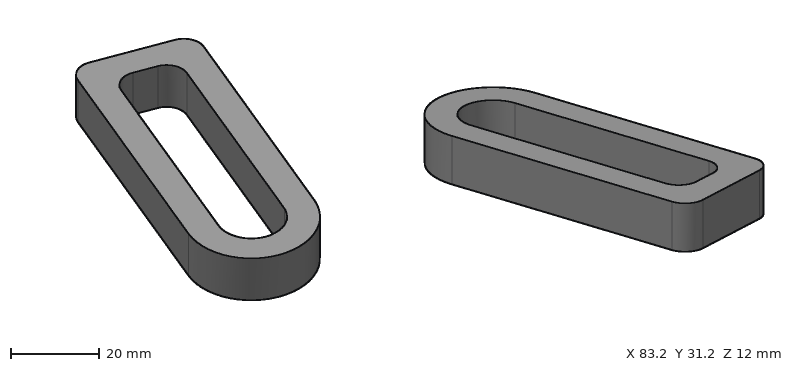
import cadquery as cq

length = 83.2
width = 31.2
height = 12.0
wall = 7.5
outer_corner_radius = 5.0
inner_corner_radius = 5.0


def d_shaped_block(block_length, block_width, corner_radius):
    """Upright block with a half-round +X end and two rounded -X corners.

    The flat -X end is centred in Y and lies at X = 0.
    """
    end_radius = block_width / 2
    straight_length = block_length - end_radius
    return (
        cq.Workplane("XY")
        .moveTo(0, -end_radius)
        .lineTo(straight_length, -end_radius)
        .threePointArc((block_length, 0), (straight_length, end_radius))
        .lineTo(0, end_radius)
        .close()
        .extrude(height)
        .edges("|Z and <X")
        .fillet(corner_radius)
    )


body = d_shaped_block(length, width, outer_corner_radius)
opening = d_shaped_block(length - 2 * wall, width - 2 * wall, inner_corner_radius)

result = body.cut(opening.translate((wall, 0, 0)))